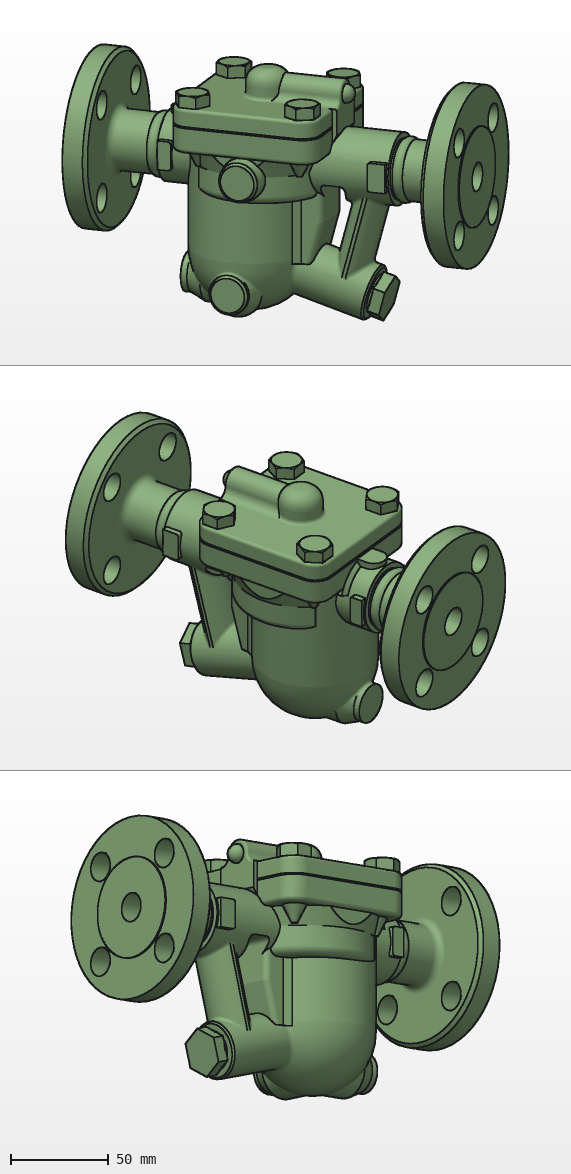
import cadquery as cq
import math

FACE_TO_FACE = 210.0
HALF_LENGTH = FACE_TO_FACE / 2
FLANGE_DIA = 95.0
FLANGE_BACK_X = 91.2
FLANGE_CHAMFER = 2.0
RAISED_DIA = 52.5
RAISED_HEIGHT = 0.7
BORE_DIA = 15.0
BOLT_HOLE_DIA = 15.0
BOLT_CIRCLE_DIA = 70.0
STUB_DIA = 32.0
STUB_FILLET = 4.0
BEAD_OUTER_X = 70.0
BEAD_INNER_X = 64.3
BEAD_HEIGHT = 1.2
PIPE_DIA = 38.0
PIPE_END_X = 63.2
INLET_PAD_INNER_X = 55.0
OUTLET_PAD_INNER_X = 52.5
PAD_OUTER_X = 62.2
PAD_HEIGHT = 15.4
PAD_ACROSS = 41.6
PAD_CORNER = 1.5
TOP_PAD_Z = 21.5
TOP_PAD_WIDTH = 13.5
TOP_PAD_END_X = -62.0

OVERALL_HEIGHT = 129.58
BODY_X = -18.5
BODY_RADIUS = 32.5
BODY_BOTTOM_Z = FLANGE_DIA / 2 - OVERALL_HEIGHT
SPHERE_Z = BODY_BOTTOM_Z + BODY_RADIUS
BODY_TOP_Z = 17.0
LIP_LENGTH = 2.3
LIP_HEIGHT = 2.3
LIP_BOTTOM_Z = 6.0
COLLAR_X = -11.7
COLLAR_RADIUS = 37.0
COLLAR_BOTTOM_Z = -16.5
COLLAR_BOTTOM_FILLET = 4.5
COLLAR_SHOULDER_Z = -1.5
COLLAR_TOP_RADIUS = 41.0
COLLAR_LEFT_X = -37.4

COVER_X = -9.5
COVER_SIZE = 80.0
COVER_CORNER = 10.0
COVER_BOTTOM_Z = 8.3
COVER_JOINT_Z = 22.2
COVER_TOP_Z = 32.0
GASKET_THICKNESS = 0.8
GASKET_INSET = 0.3
COVER_TOP_FILLET = 1.8
COVER_BOTTOM_FILLET = 2.3
BOLT_SPACING = 60.0
BOLT_ACROSS_FLATS = 16.0
BOLT_HEAD_TOP_Z = 38.6
BOLT_RIM_ANGLE = 30.0
BOLT_BOSS_SPACING = 55.0
BOLT_BOSS_RADIUS = 7.5
BOLT_BOSS_TIP_RADIUS = 1.5
BOLT_BOSS_TIP_Z = -1.0

DOME_DIA = 23.0
DOME_TOP_Z = 47.2
DOME_FILLET = 8.0
DOME_BASE_FILLET = 2.0
TUBE_RADIUS = 7.5
TUBE_AXIS_Z = 37.2
TUBE_END_X = 32.9
TUBE_END_FILLET = 1.3
SKIRT_BOTTOM_Z = 18.0
SKIRT_FOOT_Z = 4.0
BALL_DIA = 10.0

PLUG_DIA = 21.0
PLUG_CHAMFER = 1.3
PLUG_HEAD_LENGTH = 3.5
UPPER_BOSS_Z = -3.0
UPPER_BOSS_REACH = 45.0
UPPER_BOSS_DIA = 23.0
LOWER_BOSS_Z = -66.6
LOWER_BOSS_REACH = 35.0
LOWER_BOSS_DIA = 28.8
LOWER_BOSS_SHOULDER = 23.0
BOSS_ROOT_FILLET = 1.5

BRANCH_TILT = 15.0
BRANCH_DIA = 30.0
BRANCH_LENGTH = 70.0
BRANCH_CHAMFER = 1.0
BRANCH_ROOT_FILLET = 3.0
NECK_DIA = 21.0
CAP_START = 71.5
CAP_END = 78.0
CAP_ACROSS_FLATS = 22.0
CROSS_TUBE_WIDTH = 18.0
CROSS_TUBE_DEPTH = 27.0
CROSS_TUBE_FLAT = 2.0
CROSS_TUBE_FILLET = 2.0
CROSS_TUBE_TOP_X = 52.2
RIB_WIDTH = 28.0
RIB_EDGE_X = 25.3
RIB_KNEE_Z = -29.5
RIB_FOOT_Z = -52.0
RIB_FILLET = 3.1
RIB_ROOT_X = 9.7
RIB_ROOT_END_X = 13.9
WINDOW_TOP_Z = -7.7
WINDOW_TOP_X = 39.5
WINDOW_CORNER = 3.0

SURFACE_TOLERANCE = 0.001
EDGE_SAMPLE = 0.37


def upright_cone(x, y, bottom_z, top_z, bottom_radius, top_radius):
    """Round solid on a vertical axis, straight from one radius to another."""
    profile = (
        cq.Workplane("XZ")
        .polyline([(0, bottom_z), (bottom_radius, bottom_z), (top_radius, top_z), (0, top_z)])
        .close()
    )
    return profile.revolve(360, (0, 0, 0), (0, 1, 0)).translate((x, y, 0))


def on_surface(part, point):
    return min(face.distance(point) for face in part.faces().vals()) < SURFACE_TOLERANCE


def join_with_fillet(first, second, radius):
    """Union of two parts with a fillet along the edges where their surfaces meet."""
    joined = first.union(second)
    seams = []
    for edge in joined.edges().vals():
        sample = cq.Vertex.makeVertex(*edge.positionAt(EDGE_SAMPLE).toTuple())
        if on_surface(first, sample) and on_surface(second, sample):
            seams.append(edge)
    return joined.newObject(seams).fillet(radius)


def square_corners(spacing):
    half = spacing / 2
    return [(COVER_X + sx * half, sy * half) for sx in (-1, 1) for sy in (-1, 1)]


def make_flanged_stub():
    """Flange, hub fillet, pipe stub and weld bead of the outlet end, as one revolved profile."""
    flange_radius = FLANGE_DIA / 2
    stub_radius = STUB_DIA / 2
    front_x = HALF_LENGTH - RAISED_HEIGHT
    hub_x = FLANGE_BACK_X - STUB_FILLET
    hub_mid = STUB_FILLET * (1 - math.sqrt(0.5))
    profile = (
        cq.Workplane("XY")
        .moveTo(PIPE_END_X - 1, 0)
        .lineTo(PIPE_END_X - 1, stub_radius)
        .lineTo(BEAD_INNER_X, stub_radius)
        .threePointArc(
            ((BEAD_INNER_X + BEAD_OUTER_X) / 2, stub_radius + BEAD_HEIGHT),
            (BEAD_OUTER_X, stub_radius),
        )
        .lineTo(hub_x, stub_radius)
        .threePointArc(
            (FLANGE_BACK_X - hub_mid, stub_radius + hub_mid),
            (FLANGE_BACK_X, stub_radius + STUB_FILLET),
        )
        .lineTo(FLANGE_BACK_X, flange_radius - FLANGE_CHAMFER)
        .lineTo(FLANGE_BACK_X + FLANGE_CHAMFER, flange_radius)
        .lineTo(front_x, flange_radius)
        .lineTo(front_x, RAISED_DIA / 2)
        .lineTo(HALF_LENGTH, RAISED_DIA / 2)
        .lineTo(HALF_LENGTH, 0)
        .close()
    )
    stub = profile.revolve(360, (0, 0, 0), (1, 0, 0))
    holes = (
        cq.Workplane("YZ", origin=(HALF_LENGTH, 0, 0))
        .polarArray(BOLT_CIRCLE_DIA / 2, 45, 360, 4)
        .circle(BOLT_HOLE_DIA / 2)
        .extrude(FLANGE_BACK_X - HALF_LENGTH - STUB_FILLET)
    )
    return stub.cut(holes)


def make_pad(inner_x):
    """Pair of flat wrench pads across the outlet pipe, rounded at the inner corners."""
    pad = cq.Workplane("XY").box(PAD_OUTER_X - inner_x, PAD_ACROSS, PAD_HEIGHT)
    pad = pad.edges("|Y and <X").fillet(PAD_CORNER)
    return pad.translate(((PAD_OUTER_X + inner_x) / 2, 0, 0))


def make_inlet_top_pad():
    """Round-ended flat pad on top of the inlet pipe."""
    half_width = TOP_PAD_WIDTH / 2
    center_x = TOP_PAD_END_X + half_width
    tip = cq.Workplane("XY").center(center_x, 0).circle(half_width).extrude(TOP_PAD_Z)
    bar = (
        cq.Workplane("XY")
        .center((center_x + BODY_X) / 2, 0)
        .rect(BODY_X - center_x, TOP_PAD_WIDTH)
        .extrude(TOP_PAD_Z)
    )
    return tip.union(bar)


def make_window():
    """Through opening between the rib, the outlet pipe and the cross tube."""
    drop = -PIPE_DIA
    slope = math.tan(math.radians(BRANCH_TILT))
    bottom_x = WINDOW_TOP_X + slope * (drop - WINDOW_TOP_Z)
    outline = (
        cq.Workplane("XZ")
        .polyline([
            (RIB_EDGE_X, WINDOW_TOP_Z),
            (WINDOW_TOP_X, WINDOW_TOP_Z),
            (bottom_x, drop),
            (RIB_EDGE_X, drop),
        ])
        .close()
    )
    return outline.extrude(PIPE_DIA, both=True).edges("|Y").edges(">Z").fillet(WINDOW_CORNER)


def make_pipe():
    """Straight pipe with the cross tube joined on, the window and the flat pads."""
    pipe = (
        cq.Workplane("YZ", origin=(-PIPE_END_X, 0, 0))
        .circle(PIPE_DIA / 2)
        .extrude(2 * PIPE_END_X)
    )
    pipe = join_with_fillet(pipe, make_cross_tube(), CROSS_TUBE_FILLET)
    pipe = pipe.cut(make_window()).union(make_inlet_top_pad())
    return pipe.union(make_pad(OUTLET_PAD_INNER_X)).union(make_pad(INLET_PAD_INNER_X).mirror("YZ"))


def make_body():
    shell_bottom = cq.Workplane("XY").sphere(BODY_RADIUS).translate((BODY_X, 0, SPHERE_Z))
    barrel = upright_cone(BODY_X, 0, SPHERE_Z, BODY_TOP_Z, BODY_RADIUS, BODY_RADIUS)
    return barrel.union(shell_bottom)


def make_inlet_lip():
    """Flare where the inlet pipe runs into the body flange."""
    cover_face_x = COVER_X - COVER_SIZE / 2
    radius = PIPE_DIA / 2
    flare = (
        cq.Workplane("XY")
        .polyline([
            (cover_face_x - LIP_LENGTH, 0),
            (cover_face_x - LIP_LENGTH, radius),
            (cover_face_x, radius + LIP_HEIGHT),
            (cover_face_x + LIP_LENGTH, radius + LIP_HEIGHT),
            (cover_face_x + LIP_LENGTH, 0),
        ])
        .close()
        .revolve(360, (0, 0, 0), (1, 0, 0))
    )
    upper_half = (
        cq.Workplane("XY", origin=(cover_face_x, 0, LIP_BOTTOM_Z))
        .rect(2 * PIPE_DIA, 2 * PIPE_DIA)
        .extrude(PIPE_DIA)
    )
    return flare.intersect(upper_half)


def make_collar():
    """Thickened ring under the body flange, flaring out towards it."""
    ring = upright_cone(
        COLLAR_X, 0, COLLAR_BOTTOM_Z, COLLAR_SHOULDER_Z, COLLAR_RADIUS, COLLAR_RADIUS
    )
    ring = ring.faces("<Z").edges().fillet(COLLAR_BOTTOM_FILLET)
    flare = upright_cone(
        COLLAR_X, 0, COLLAR_SHOULDER_Z, COVER_BOTTOM_Z + COVER_BOTTOM_FILLET,
        COLLAR_RADIUS, COLLAR_TOP_RADIUS,
    )
    limit = cq.Workplane("XY").box(COVER_SIZE, COVER_SIZE - 2 * COVER_BOTTOM_FILLET, COVER_SIZE)
    limit = limit.translate((COLLAR_LEFT_X + COVER_SIZE / 2, 0, 0))
    return ring.union(flare).intersect(limit)


def cover_slab(bottom_z, top_z, inset=0.0):
    side = COVER_SIZE - 2 * inset
    slab = (
        cq.Workplane("XY", origin=(COVER_X, 0, bottom_z))
        .rect(side, side)
        .extrude(top_z - bottom_z)
    )
    return slab.edges("|Z").fillet(COVER_CORNER - inset)


def make_cover():
    """Body flange and lid with a slightly recessed gasket between them."""
    gasket_bottom = COVER_JOINT_Z - GASKET_THICKNESS / 2
    gasket_top = COVER_JOINT_Z + GASKET_THICKNESS / 2
    body_flange = cover_slab(COVER_BOTTOM_Z, gasket_bottom)
    body_flange = body_flange.faces("<Z").edges().fillet(COVER_BOTTOM_FILLET)
    lid = cover_slab(gasket_top, COVER_TOP_Z).faces(">Z").edges().fillet(COVER_TOP_FILLET)
    gasket = cover_slab(gasket_bottom, gasket_top, GASKET_INSET)
    return body_flange.union(gasket).union(lid)


def make_bolt_heads():
    """Hexagon heads with a round chamfered rim, every other one turned by 30 degrees."""
    flat_radius = BOLT_ACROSS_FLATS / 2
    corner_radius = flat_radius / math.cos(math.radians(30))
    rim_drop = (corner_radius - flat_radius) * math.tan(math.radians(BOLT_RIM_ANGLE))
    height = BOLT_HEAD_TOP_Z - COVER_TOP_Z
    hexagon = cq.Workplane("XY").polygon(6, 2 * corner_radius).extrude(height)
    rim = upright_cone(0, 0, height - rim_drop, height, corner_radius, flat_radius)
    shank = upright_cone(0, 0, 0, height - rim_drop, corner_radius, corner_radius)
    head = hexagon.intersect(shank.union(rim))
    heads = cq.Workplane("XY")
    for x, y in square_corners(BOLT_SPACING):
        turn = 30 if (x - COVER_X) * y < 0 else 0
        heads = heads.add(head.rotate((0, 0, 0), (0, 0, 1), turn).translate((x, y, COVER_TOP_Z)))
    return heads.combine()


def make_bolt_bosses():
    bosses = cq.Workplane("XY")
    for x, y in square_corners(BOLT_BOSS_SPACING):
        bosses = bosses.add(upright_cone(
            x, y, BOLT_BOSS_TIP_Z, COVER_BOTTOM_Z + COVER_BOTTOM_FILLET,
            BOLT_BOSS_TIP_RADIUS, BOLT_BOSS_RADIUS,
        ))
    return bosses.combine()


def make_dome():
    radius = DOME_DIA / 2
    dome = upright_cone(COVER_X, 0, COVER_JOINT_Z, DOME_TOP_Z, radius, radius)
    dome = dome.faces(">Z").edges().fillet(DOME_FILLET)
    foot_mid = DOME_BASE_FILLET * (1 - math.sqrt(0.5))
    foot = (
        cq.Workplane("XZ")
        .moveTo(0, COVER_TOP_Z)
        .lineTo(radius + DOME_BASE_FILLET, COVER_TOP_Z)
        .threePointArc(
            (radius + foot_mid, COVER_TOP_Z + foot_mid),
            (radius, COVER_TOP_Z + DOME_BASE_FILLET),
        )
        .lineTo(0, COVER_TOP_Z + DOME_BASE_FILLET)
        .close()
        .revolve(360, (0, 0, 0), (0, 1, 0))
        .translate((COVER_X, 0, 0))
    )
    return dome.union(foot)


def make_valve_tube():
    """Horizontal tube from the dome over the cover edge, on a coved skirt."""
    cove = TUBE_AXIS_Z - COVER_TOP_Z
    cove_mid = cove * (1 - math.sqrt(0.5))
    skirt_half = TUBE_RADIUS + cove
    length = TUBE_END_X - COVER_X
    section = (
        cq.Workplane("YZ", origin=(COVER_X, 0, 0))
        .moveTo(-skirt_half, SKIRT_BOTTOM_Z)
        .lineTo(skirt_half, SKIRT_BOTTOM_Z)
        .lineTo(skirt_half, COVER_TOP_Z)
        .threePointArc(
            (TUBE_RADIUS + cove_mid, COVER_TOP_Z + cove_mid),
            (TUBE_RADIUS, TUBE_AXIS_Z),
        )
        .threePointArc((0, TUBE_AXIS_Z + TUBE_RADIUS), (-TUBE_RADIUS, TUBE_AXIS_Z))
        .threePointArc(
            (-TUBE_RADIUS - cove_mid, COVER_TOP_Z + cove_mid),
            (-skirt_half, COVER_TOP_Z),
        )
        .close()
    )
    tube = section.extrude(length)
    foot = (
        cq.Workplane("XZ")
        .polyline([
            (COVER_X, SKIRT_BOTTOM_Z),
            (TUBE_END_X, SKIRT_BOTTOM_Z),
            (RIB_EDGE_X, SKIRT_FOOT_Z),
            (COVER_X, SKIRT_FOOT_Z),
        ])
        .close()
        .extrude(skirt_half, both=True)
    )
    ball = cq.Workplane("XY").sphere(BALL_DIA / 2).translate((TUBE_END_X, 0, TUBE_AXIS_Z))
    rounded = tube.faces(">X").edges(">Z").fillet(TUBE_END_FILLET)
    return rounded.union(foot).union(ball)


def make_plug_boss(reach, base_dia, shoulder, chamfer=PLUG_CHAMFER):
    """Boss along +X from the origin: thick base, taper and a plug head."""
    head_radius = PLUG_DIA / 2
    profile = (
        cq.Workplane("XY")
        .polyline([
            (0, 0),
            (0, base_dia / 2),
            (shoulder, base_dia / 2),
            (reach - PLUG_HEAD_LENGTH, head_radius),
            (reach, head_radius),
            (reach, 0),
        ])
        .close()
    )
    boss = profile.revolve(360, (0, 0, 0), (1, 0, 0))
    if chamfer > 0:
        boss = boss.faces(">X").chamfer(chamfer)
    return boss


def make_bosses():
    upper = make_plug_boss(UPPER_BOSS_REACH, UPPER_BOSS_DIA, UPPER_BOSS_REACH - 2 * PLUG_HEAD_LENGTH)
    upper = upper.rotate((0, 0, 0), (0, 0, 1), -90).translate((COVER_X, 0, UPPER_BOSS_Z))
    front = make_plug_boss(LOWER_BOSS_REACH, LOWER_BOSS_DIA, LOWER_BOSS_SHOULDER)
    front = front.rotate((0, 0, 0), (0, 0, 1), -90).translate((BODY_X, 0, LOWER_BOSS_Z))
    inlet_side = make_plug_boss(LOWER_BOSS_REACH, LOWER_BOSS_DIA, LOWER_BOSS_SHOULDER, chamfer=0)
    inlet_side = inlet_side.rotate((0, 0, 0), (0, 0, 1), 180).translate((BODY_X, 0, LOWER_BOSS_Z))
    return upper.union(front).union(inlet_side)


def make_branch():
    """Strainer branch with its hexagon cap, tilted down from the hemisphere centre."""
    branch = cq.Workplane("YZ").circle(BRANCH_DIA / 2).extrude(BRANCH_LENGTH)
    branch = branch.faces(">X").chamfer(BRANCH_CHAMFER)
    neck = cq.Workplane("YZ").circle(NECK_DIA / 2).extrude(CAP_END)
    cap = (
        cq.Workplane("YZ", origin=(CAP_START, 0, 0))
        .polygon(6, CAP_ACROSS_FLATS / math.cos(math.radians(30)))
        .extrude(CAP_END - CAP_START)
        .rotate((0, 0, 0), (1, 0, 0), 90)
    )
    whole = branch.union(neck).union(cap)
    return whole.rotate((0, 0, 0), (0, 1, 0), BRANCH_TILT).translate((BODY_X, 0, SPHERE_Z))


def make_cross_tube():
    """Tube from the outlet pipe down to the branch, square to the branch axis."""
    tilt = math.radians(BRANCH_TILT)
    tube_foot = (CROSS_TUBE_TOP_X - BODY_X) * math.sin(tilt) - SPHERE_Z * math.cos(tilt)
    half_flat = CROSS_TUBE_FLAT / 2
    half_width = CROSS_TUBE_WIDTH / 2
    half_depth = CROSS_TUBE_DEPTH / 2
    tube = (
        cq.Workplane("XY")
        .moveTo(-half_flat, -half_depth)
        .lineTo(half_flat, -half_depth)
        .threePointArc((half_width, 0), (half_flat, half_depth))
        .lineTo(-half_flat, half_depth)
        .threePointArc((-half_width, 0), (-half_flat, -half_depth))
        .close()
        .extrude(-tube_foot)
    )
    return tube.rotate((0, 0, 0), (0, 1, 0), BRANCH_TILT).translate((CROSS_TUBE_TOP_X, 0, 0))


def make_rib():
    """Rib on the outlet side of the body; flared root, rounded edge, foot square to the branch."""
    foot_x = RIB_EDGE_X - (RIB_KNEE_Z - RIB_FOOT_Z) * math.tan(math.radians(BRANCH_TILT))
    half = RIB_WIDTH / 2
    root_half = math.sqrt(BODY_RADIUS**2 - (RIB_ROOT_X - BODY_X) ** 2)
    rib = (
        cq.Workplane("XZ")
        .polyline([
            (BODY_X, 0),
            (RIB_EDGE_X, 0),
            (RIB_EDGE_X, RIB_KNEE_Z),
            (foot_x, RIB_FOOT_Z),
            (BODY_X, RIB_FOOT_Z),
        ])
        .close()
        .extrude(half, both=True)
    )
    rib = rib.faces(">Y or <Y").edges("not |X").fillet(RIB_FILLET)
    root = (
        cq.Workplane("XY", origin=(0, 0, RIB_FOOT_Z))
        .polyline([
            (BODY_X, -root_half),
            (RIB_ROOT_X, -root_half),
            (RIB_ROOT_END_X, -half),
            (RIB_ROOT_END_X, half),
            (RIB_ROOT_X, root_half),
            (BODY_X, root_half),
        ])
        .close()
        .extrude(-RIB_FOOT_Z)
    )
    return rib.union(root)


def make_bores():
    """Blind port bores, each as deep as its pipe stub."""
    depth = HALF_LENGTH - PIPE_END_X
    inlet = cq.Workplane("YZ", origin=(-HALF_LENGTH, 0, 0)).circle(BORE_DIA / 2).extrude(depth)
    return inlet.union(inlet.mirror("YZ"))


outlet_stub = make_flanged_stub()
strainer = join_with_fillet(make_branch(), make_cross_tube(), CROSS_TUBE_FILLET)
solid = join_with_fillet(make_body(), make_bosses(), BOSS_ROOT_FILLET)
solid = join_with_fillet(solid, make_branch(), BRANCH_ROOT_FILLET)
for feature in (
    strainer,
    make_pipe(),
    make_collar(),
    make_inlet_lip(),
    make_rib(),
    make_cover(),
    make_bolt_heads(),
    make_bolt_bosses(),
    make_dome(),
    make_valve_tube(),
    outlet_stub,
    outlet_stub.mirror("YZ"),
):
    solid = solid.union(feature)

result = solid.cut(make_bores())